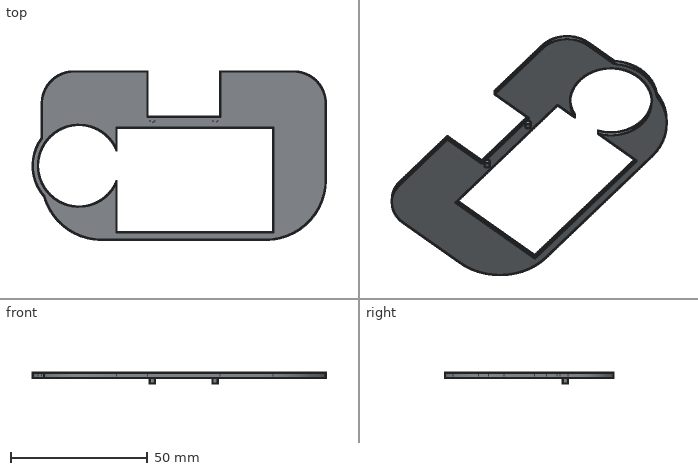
import cadquery as cq

overall_length = 107.8
plate_depth = 62.0
overall_height = 4.0

body_left = 3.3
upper_corner_radius = 12.0
lower_corner_radius = 22.2

ring_outer_radius = 17.0
ring_opening_radius = 15.0
ring_center = (ring_outer_radius, 27.3)

notch_left = 42.3
notch_width = 26.6
notch_depth = 16.7

window_left = 30.9
window_bottom = 2.9
window_width = 57.5
window_height = 38.3

pin_diameter = 2.0
pin_spacing = 23.1
pin_length = overall_height / 2
plate_thickness = overall_height - pin_length
notch_center_x = notch_left + notch_width / 2
pin_y = plate_depth - notch_depth - pin_diameter / 2


def block(left, bottom, width, depth):
    """Rectangular prism as thick as the plate, standing on Z = 0."""
    return cq.Workplane("XY").box(width, depth, plate_thickness, centered=False).translate((left, bottom, 0))


def disc(center, radius):
    """Round prism as thick as the plate, standing on Z = 0."""
    return cq.Workplane("XY").center(*center).circle(radius).extrude(plate_thickness)


def make_plate():
    """Rounded body with the thumbstick rim, cut by the three openings."""
    body = block(body_left, 0, overall_length - body_left, plate_depth)
    body = body.edges("|Z and >Y").fillet(upper_corner_radius)
    body = body.edges("|Z and <Y").fillet(lower_corner_radius)
    plate = body.union(disc(ring_center, ring_outer_radius))
    plate = plate.cut(disc(ring_center, ring_opening_radius))
    plate = plate.cut(block(window_left, window_bottom, window_width, window_height))
    return plate.cut(block(notch_left, plate_depth - notch_depth, notch_width, notch_depth))


def make_pins():
    """Two pins hanging from the underside, placed evenly about the notch centre."""
    return (
        cq.Workplane("XY")
        .center(notch_center_x, pin_y)
        .pushPoints([(-pin_spacing / 2, 0), (pin_spacing / 2, 0)])
        .circle(pin_diameter / 2)
        .extrude(-pin_length)
    )


result = make_plate().union(make_pins())